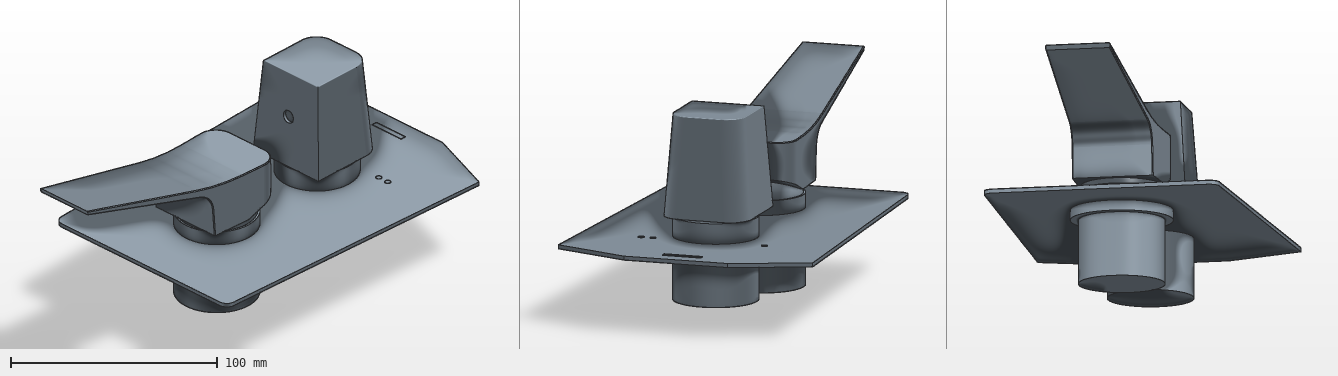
import cadquery as cq
import math


plate_thickness = 2.0
plate_rear_y = 130.0
plate_length = 183.0
plate_front_y = plate_rear_y - plate_length
plate_max_width = 129.99
plate_front_width = 115.5
plate_rear_width = 53.0
plate_shoulder_y = plate_rear_y - 14.5
plate_corner_radius = 5.0

marking_depth = 0.2
bar_length = 19.5
bar_width = 3.0
bar_y = plate_rear_y - 10.0
dot_diameter = 3.0
dot_y = plate_rear_y - 45.0
dot_x_positions = (-30.0, 27.0, 33.0)

sleeve_diameter = 42.0
diverter_y = 70.0
diverter_sleeve_top = 10.1
diverter_sleeve_bottom = -31.4
lever_sleeve_top = 7.2
lever_sleeve_bottom = -38.4
ring_diameter = 50.0
ring_height = 5.0

knob_bottom = 11.4
knob_top = 61.55
knob_base_width = 43.7
knob_top_width = 36.8
knob_corner_radius = 10.0
knob_rim_rounding = 0.4

plug_diameter = 6.6
plug_z = 38.0
plug_length = 4.0
plug_recess = 1.5
plug_overcut = 1.0

ball_radius = 20.0
ball_center_drop = 1.0
ball_center_z = lever_sleeve_top - ball_center_drop

lever_tip_y = plate_rear_y - 236.64
lever_rear_y = 21.3
lever_front_y = -22.0
lever_bottom = 10.1
lever_rear_bottom = 18.2
lever_bottom_rear_y = 0.5
lever_top = 36.8
lever_rear_width = 44.0
lever_tip_width = 31.8
lever_corner_radius = 10.0
blade_bend_start_y = -3.3
blade_bend_end_y = -33.7
blade_angle = math.radians(14.0)
blade_root_thickness = 4.4
blade_tip_thickness = 2.4
throat_radius = 12.0
front_face_lean = 1.8
lever_edge_chamfer = 0.45


def cylinder(diameter, bottom, top, y):
    return cq.Workplane("XY", origin=(0, y, bottom)).circle(diameter / 2).extrude(top - bottom)


def make_sleeve(bottom, top, y):
    return cylinder(sleeve_diameter, bottom, top, y)


def make_plate(sleeves):
    half_outline = [
        (plate_rear_width / 2, plate_rear_y),
        (plate_max_width / 2, plate_shoulder_y),
        (plate_front_width / 2, plate_front_y),
    ]
    mirrored = [(-x, y) for x, y in reversed(half_outline)]
    plate = cq.Workplane("XY").polyline(half_outline + mirrored).close().extrude(-plate_thickness)
    plate = plate.edges("|Z").edges("<Y").fillet(plate_corner_radius)
    bar = cq.Workplane("XY").center(0, bar_y).rect(bar_length, bar_width).extrude(-marking_depth)
    dots = (
        cq.Workplane("XY")
        .pushPoints([(x, dot_y) for x in dot_x_positions])
        .circle(dot_diameter / 2)
        .extrude(-marking_depth)
    )
    plate = plate.cut(bar).cut(dots)
    for sleeve in sleeves:
        plate = plate.cut(sleeve)
    return plate


def make_ring(sleeve):
    top = -plate_thickness
    return cylinder(ring_diameter, top - ring_height, top, 0).cut(sleeve)


def knob_section(width, z):
    """Square with its two rear corners rounded, as a wire at height z."""
    half = width / 2
    straight = half - knob_corner_radius
    bulge = straight + knob_corner_radius * math.sqrt(0.5)
    return (
        cq.Workplane("XY", origin=(0, diverter_y, z))
        .moveTo(-half, -half)
        .lineTo(half, -half)
        .lineTo(half, straight)
        .threePointArc((bulge, bulge), (straight, half))
        .lineTo(-straight, half)
        .threePointArc((-bulge, bulge), (-half, straight))
        .close()
        .wire()
        .val()
    )


def plug_cylinder(recess):
    """Cylinder along Y into the knob; it starts the recess behind the sloping front face."""
    climb = (plug_z - knob_bottom) / (knob_top - knob_bottom)
    face_half = (knob_base_width + (knob_top_width - knob_base_width) * climb) / 2
    face_y = diverter_y - face_half
    front_y = face_y + recess
    end_y = face_y + plug_length
    start = cq.Workplane("XZ", origin=(0, front_y, plug_z))
    return start.circle(plug_diameter / 2).extrude(front_y - end_y)


def make_knob():
    sections = [knob_section(knob_base_width, knob_bottom), knob_section(knob_top_width, knob_top)]
    knob = cq.Workplane(cq.Solid.makeLoft(sections, True))
    knob = knob.faces(">Z").edges().fillet(knob_rim_rounding)
    return knob.cut(plug_cylinder(-plug_overcut))


def make_plug():
    return plug_cylinder(plug_recess)


def make_ball():
    """Part of the ball above the lever sleeve; the lever has a matching socket."""
    ball = cq.Workplane("XY", origin=(0, 0, ball_center_z)).sphere(ball_radius)
    below = cylinder(3 * ball_radius, ball_center_z - 2 * ball_radius, lever_sleeve_top, 0)
    return ball.cut(below)


def lever_side_profile():
    """Side outline in the YZ plane, extruded wider than the lever."""
    bend_radius = (blade_bend_start_y - blade_bend_end_y) / math.sin(blade_angle)
    bend_mid = (
        blade_bend_start_y - bend_radius * math.sin(blade_angle / 2),
        lever_top + bend_radius * (1 - math.cos(blade_angle / 2)),
    )
    bend_end = (blade_bend_end_y, lever_top + bend_radius * (1 - math.cos(blade_angle)))
    tip_z = bend_end[1] + (blade_bend_end_y - lever_tip_y) * math.tan(blade_angle)
    tip_under = (
        lever_tip_y + blade_tip_thickness * math.sin(blade_angle),
        tip_z - blade_tip_thickness * math.cos(blade_angle),
    )
    root_under_z = bend_end[1] - blade_root_thickness
    underside_slope = (tip_under[1] - root_under_z) / (blade_bend_end_y - tip_under[0])
    throat_y = lever_front_y - front_face_lean
    throat = (throat_y, root_under_z - underside_slope * (throat_y - blade_bend_end_y))
    profile = (
        cq.Workplane("YZ")
        .moveTo(lever_rear_y, lever_top)
        .lineTo(blade_bend_start_y, lever_top)
        .threePointArc(bend_mid, bend_end)
        .lineTo(lever_tip_y, tip_z)
        .lineTo(*tip_under)
        .lineTo(*throat)
        .lineTo(lever_front_y, lever_bottom)
        .lineTo(lever_bottom_rear_y, lever_bottom)
        .lineTo(lever_rear_y, lever_rear_bottom)
        .close()
        .extrude(lever_rear_width, both=True)
    )
    throat_edge = cq.selectors.NearestToPointSelector((0, *throat))
    return profile.edges("|X").edges(throat_edge).fillet(throat_radius)


def lever_plan():
    """Plan outline that narrows from the rounded rear end to the tip."""
    plan_outline = [
        (lever_rear_width / 2, lever_rear_y),
        (lever_tip_width / 2, lever_tip_y),
        (-lever_tip_width / 2, lever_tip_y),
        (-lever_rear_width / 2, lever_rear_y),
    ]
    plan = cq.Workplane("XY").polyline(plan_outline).close().extrude(2 * lever_top)
    return plan.edges("|Z").edges(">Y").fillet(lever_corner_radius)


def make_lever(ball):
    """Profile cut to the plan outline; each chamfer runs on along the tangent edges to the tip."""
    lever = lever_side_profile().intersect(lever_plan())
    lever = lever.faces("+Z").edges("not |X").chamfer(lever_edge_chamfer)
    front_face = cq.selectors.NearestToPointSelector((0, lever_front_y, (lever_bottom + lever_top) / 2))
    lever = lever.faces(front_face).edges("not |X").chamfer(lever_edge_chamfer)
    return lever.cut(ball)


lever_sleeve = make_sleeve(lever_sleeve_bottom, lever_sleeve_top, 0)
diverter_sleeve = make_sleeve(diverter_sleeve_bottom, diverter_sleeve_top, diverter_y)
plate = make_plate([lever_sleeve, diverter_sleeve])
ring = make_ring(lever_sleeve)
knob = make_knob()
plug = make_plug()
ball = make_ball()
lever = make_lever(ball)

bodies = [plate, lever_sleeve, diverter_sleeve, ring, knob, plug, ball, lever]
result = cq.Compound.makeCompound([body.val() for body in bodies])